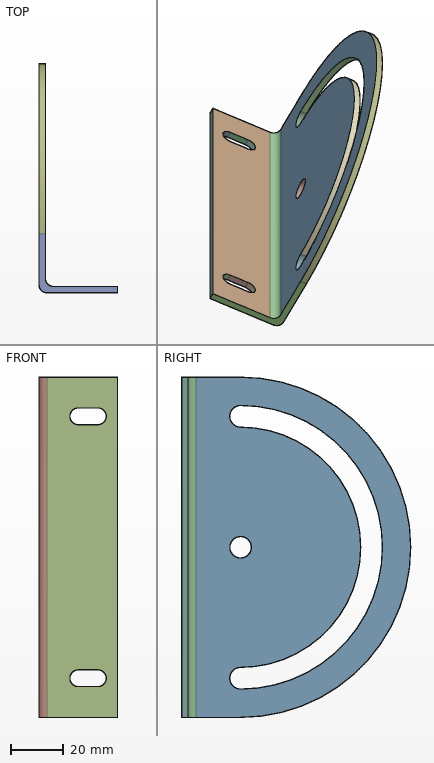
import cadquery as cq

thickness = 2.5
inner_bend_radius = 3.0
outer_bend_radius = 3.0
flange_width = 30.0
plate_radius = 65.0
pivot_offset = 22.5
pivot_diameter = 8.1
arc_slot_radius = 50.0
arc_slot_width = 8.2
mount_slot_length = 13.8
mount_slot_width = 6.3
mount_slot_x = 18.75
mount_slot_spacing = 100.0

height = 2 * plate_radius
plate_depth = pivot_offset + plate_radius


def bent_sheet():
    """L-shaped sheet: plate on the YZ plane, flange on the XZ plane, centred on Z = 0."""
    profile = (
        cq.Workplane("XY")
        .workplane(offset=-height / 2)
        .polyline([
            (0, 0),
            (flange_width, 0),
            (flange_width, thickness),
            (thickness, thickness),
            (thickness, plate_depth),
            (0, plate_depth),
        ])
        .close()
    )
    sheet = profile.extrude(height)
    inner_corner = cq.selectors.NearestToPointSelector((thickness, thickness, 0))
    sheet = sheet.edges("|Z").edges(inner_corner).fillet(inner_bend_radius)
    outer_corner = cq.selectors.NearestToPointSelector((0, 0, 0))
    return sheet.edges("|Z").edges(outer_corner).fillet(outer_bend_radius)


def rounded_envelope():
    """Half-round outline about the pivot, wide enough in X to cover the flange."""
    return (
        cq.Workplane("YZ")
        .moveTo(0, -plate_radius)
        .lineTo(pivot_offset, -plate_radius)
        .threePointArc((plate_depth, 0), (pivot_offset, plate_radius))
        .lineTo(0, plate_radius)
        .close()
        .extrude(flange_width)
    )


def pivot_hole():
    return cq.Workplane("YZ").center(pivot_offset, 0).circle(pivot_diameter / 2).extrude(thickness)


def arc_slot():
    """Half-circle slot about the pivot with rounded ends."""
    outer = arc_slot_radius + arc_slot_width / 2
    inner = arc_slot_radius - arc_slot_width / 2
    end_reach = -arc_slot_width / 2
    return (
        cq.Workplane("YZ")
        .center(pivot_offset, 0)
        .moveTo(0, outer)
        .threePointArc((outer, 0), (0, -outer))
        .threePointArc((end_reach, -arc_slot_radius), (0, -inner))
        .threePointArc((inner, 0), (0, inner))
        .threePointArc((end_reach, arc_slot_radius), (0, outer))
        .close()
        .extrude(thickness)
    )


def mounting_slots():
    """Two horizontal slots through the flange."""
    half_spacing = mount_slot_spacing / 2
    return (
        cq.Workplane("XZ")
        .pushPoints([(mount_slot_x, -half_spacing), (mount_slot_x, half_spacing)])
        .slot2D(mount_slot_length, mount_slot_width)
        .extrude(-thickness)
    )


result = (
    bent_sheet()
    .intersect(rounded_envelope())
    .cut(pivot_hole())
    .cut(arc_slot())
    .cut(mounting_slots())
)